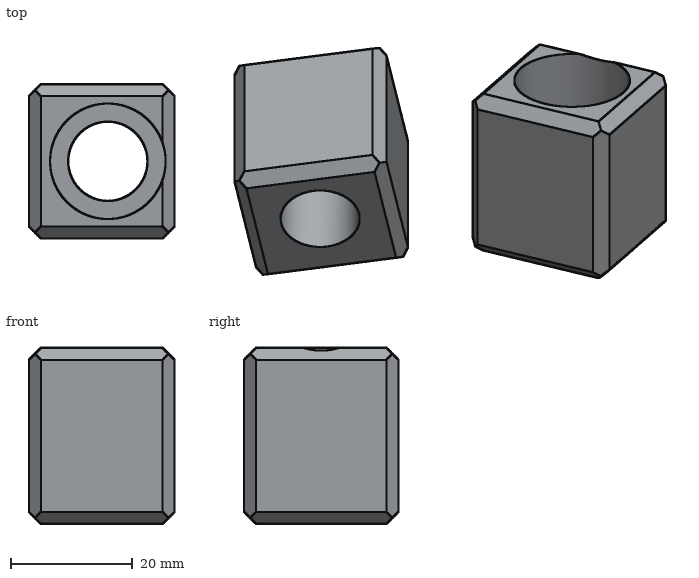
import cadquery as cq

width_x = 24.0
depth_y = 25.4
height_z = 29.0
edge_chamfer = 2.0

bore_offset_x = 1.0
through_diameter = 13.0
counterbore_diameter = 19.0
counterbore_depth = 12.4


def block_chamfered_along(axis):
    """Block standing on Z = 0, centred in X and Y, with the four edges parallel to one axis chamfered."""
    block = cq.Workplane("XY").box(width_x, depth_y, height_z, centered=(True, True, False))
    return block.edges("|" + axis).chamfer(edge_chamfer)


def chamfered_block():
    """Block with all edges chamfered; at each corner the three chamfer planes run on until they meet."""
    block = block_chamfered_along("X")
    for axis in ("Y", "Z"):
        block = block.intersect(block_chamfered_along(axis))
    return block


def stepped_bore():
    """Cutting body: a through hole opening into a wider counterbore at the top."""
    through_hole = (
        cq.Workplane("XY")
        .center(bore_offset_x, 0)
        .circle(through_diameter / 2)
        .extrude(height_z)
    )
    counterbore = (
        cq.Workplane("XY", origin=(0, 0, height_z))
        .center(bore_offset_x, 0)
        .circle(counterbore_diameter / 2)
        .extrude(-counterbore_depth)
    )
    return through_hole.union(counterbore)


result = chamfered_block().cut(stepped_bore())